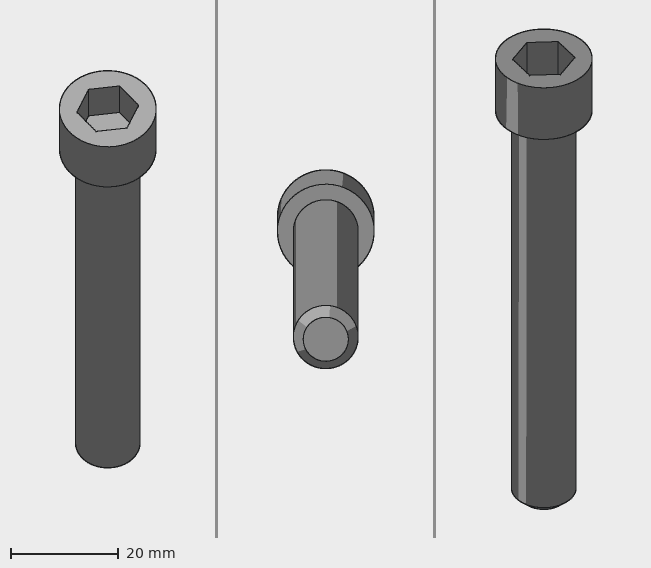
import cadquery as cq
import math

total_length = 102.0
head_diameter = 18.0
shank_diameter = 12.0
head_height = shank_diameter
shank_length = total_length - head_height

tip_chamfer = 1.8

hexagon_sides = 6
socket_across_flats = 10.0
socket_across_corners = socket_across_flats / math.cos(math.pi / hexagon_sides)
socket_depth = 8.0


def make_head():
    return cq.Workplane("XY").circle(head_diameter / 2).extrude(head_height)


def make_shank():
    """Plain shank below the head, chamfered at the tip."""
    shank = cq.Workplane("XY").circle(shank_diameter / 2).extrude(-shank_length)
    return shank.faces("<Z").edges().chamfer(tip_chamfer)


def make_socket():
    """Hexagonal key socket, two corners in line with the X axis."""
    return (
        cq.Workplane("XY")
        .workplane(offset=head_height - socket_depth)
        .polygon(hexagon_sides, socket_across_corners)
        .extrude(socket_depth)
    )


result = make_head().union(make_shank()).cut(make_socket())